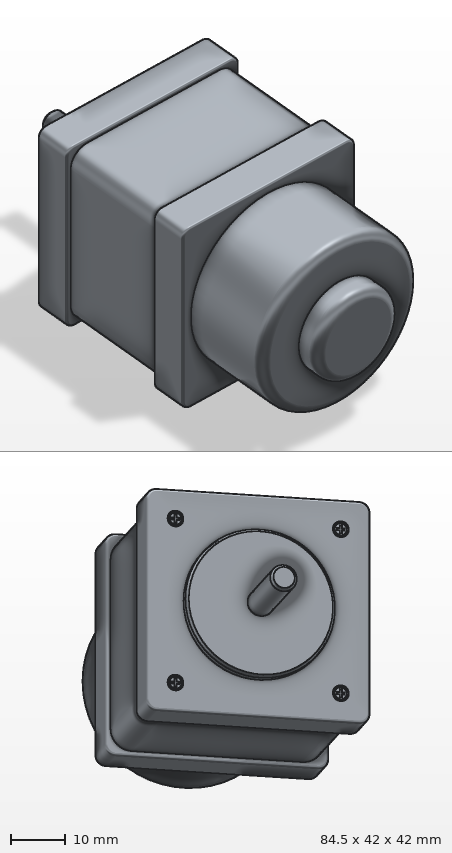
import cadquery as cq

overall_length = 84.5
pilot_thickness = 2.0
flange_thickness = 8.0
body_length = 23.9
can_length = 19.5
cap_length = 5.0

flange_width = 42.0
flange_corner_radius = 2.0
body_width = 40.0
body_corner_radius = 4.0
shaft_diameter = 5.0
pilot_diameter = 28.05
can_diameter = 38.0
cap_diameter = 20.0

edge_break = 0.5
rear_edge_radius = 2.0

screw_spacing = 31.0
screw_ring_diameter = 2.95
screw_head_diameter = 2.3
screw_ring_depth = 0.2
cross_length = 1.5
cross_width = 0.4
cross_depth = 0.3

cap_start = overall_length - cap_length
can_start = cap_start - can_length
rear_flange_start = can_start - flange_thickness
body_start = rear_flange_start - body_length
front_flange_start = body_start - flange_thickness
pilot_start = front_flange_start - pilot_thickness


def section_plane(x):
    """Plane across the motor axis at station x, with its normal along +X."""
    return cq.Workplane("YZ", origin=(x, 0, 0))


def square_block(start, length, width, corner_radius):
    """Square block centred on the axis, with rounded long edges."""
    block = section_plane(start).rect(width, width).extrude(length)
    return block.edges("|X").fillet(corner_radius)


def cylinder(start, length, diameter):
    """Cylinder on the motor axis."""
    return section_plane(start).circle(diameter / 2).extrude(length)


def flange(start):
    """Square end flange with both end outlines rounded off."""
    block = square_block(start, flange_thickness, flange_width, flange_corner_radius)
    return block.faces("<X or >X").edges().fillet(edge_break)


def cut_screws(part):
    """Cut a narrow ring around each flush screw head and a cross into its face."""
    layout = section_plane(front_flange_start).rect(screw_spacing, screw_spacing, forConstruction=True)
    centres = layout.vertices()
    rings = centres.circle(screw_ring_diameter / 2).extrude(screw_ring_depth)
    heads = centres.circle(screw_head_diameter / 2).extrude(screw_ring_depth)
    slots = centres.rect(cross_length, cross_width).extrude(cross_depth)
    cross_slots = centres.rect(cross_width, cross_length).extrude(cross_depth)
    return part.cut(rings.cut(heads)).cut(slots.union(cross_slots))


shaft = cylinder(0, pilot_start, shaft_diameter).faces("<X").chamfer(edge_break)
pilot = cylinder(pilot_start, pilot_thickness, pilot_diameter).faces("<X").chamfer(edge_break)
body = square_block(body_start, body_length, body_width, body_corner_radius)
can = cylinder(can_start, can_length, can_diameter).faces(">X").edges().fillet(rear_edge_radius)
cap = cylinder(cap_start, cap_length, cap_diameter).faces(">X").edges().fillet(rear_edge_radius)

result = flange(front_flange_start)
for piece in (body, flange(rear_flange_start), can, cap, pilot, shaft):
    result = result.union(piece)
result = cut_screws(result)